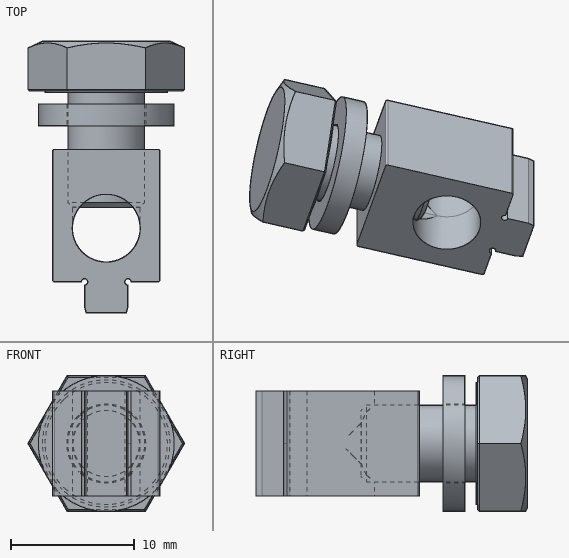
import cadquery as cq
import math

total_length = 22.0
collar_face_y = 17.82
bolt_tip_y = 8.51
washer_front_y = 15.14
block_rear_y = 13.25
shoulder_y = 2.5

block_width = 8.7
block_height = 8.54
block_corner_radius = 0.18
tab_width = 3.52
tab_taper_depth = 0.13
tab_taper_length = 0.5
relief_diameter = 0.5
wire_hole_diameter = 5.48
bore_diameter = wire_hole_diameter
wire_hole_y = 6.86

across_corners = 12.67
collar_diameter = 9.9
collar_height = 0.13
base_chamfer = 0.13
corner_drop = 0.55
crown_angle = 25.0
shank_diameter = 6.23
shank_tip_diameter = 5.37
tip_chamfer = (shank_diameter - shank_tip_diameter) / 2

washer_diameter = 11.0
washer_hole_diameter = 6.4
washer_thickness = 1.78


def cylinder_along_y(diameter, start_y, end_y):
    """Solid cylinder on the common axis between two positions along Y."""
    base = cq.Workplane("XZ", origin=(0, start_y, 0))
    return base.circle(diameter / 2).extrude(start_y - end_y)


def make_crown_envelope(base_y):
    """Turned shape with a conical crown that trims the rear corners of the hexagon."""
    corner_radius = across_corners / 2
    face_radius = corner_radius - corner_drop / math.tan(math.radians(crown_angle))
    return (
        cq.Workplane("XY")
        .moveTo(0, base_y)
        .lineTo(corner_radius, base_y)
        .lineTo(corner_radius, total_length - corner_drop)
        .lineTo(face_radius, total_length)
        .lineTo(0, total_length)
        .close()
        .revolve(360, (0, 0, 0), (0, 1, 0))
    )


def make_shank():
    """Round shank of the bolt with its chamfered tip."""
    shank = cylinder_along_y(shank_diameter, bolt_tip_y, collar_face_y)
    return shank.faces("<Y").chamfer(tip_chamfer)


def make_bolt():
    """Hexagon head, bearing collar and shank."""
    head_base_y = collar_face_y + collar_height
    hexagon = (
        cq.Workplane("XZ", origin=(0, head_base_y, 0))
        .polygon(6, across_corners)
        .extrude(head_base_y - total_length)
        .faces("<Y")
        .chamfer(base_chamfer)
    )
    head = hexagon.intersect(make_crown_envelope(head_base_y))
    collar = cylinder_along_y(collar_diameter, collar_face_y, head_base_y)
    return head.union(collar).union(make_shank())


def make_washer():
    """Flat ring that sits loosely around the shank."""
    rear_y = washer_front_y + washer_thickness
    disc = cylinder_along_y(washer_diameter, washer_front_y, rear_y)
    return disc.cut(cylinder_along_y(washer_hole_diameter, washer_front_y, rear_y))


def make_tab():
    """Narrow tongue on the front of the block, tapered towards its end."""
    half_width = tab_width / 2
    half_end_width = half_width - tab_taper_depth
    return (
        cq.Workplane("XY", origin=(0, 0, -block_height / 2))
        .moveTo(-half_end_width, 0)
        .lineTo(half_end_width, 0)
        .lineTo(half_width, tab_taper_length)
        .lineTo(half_width, shoulder_y)
        .lineTo(-half_width, shoulder_y)
        .lineTo(-half_width, tab_taper_length)
        .close()
        .extrude(block_height)
    )


def make_block():
    """Terminal block with tab, corner reliefs, wire hole and bolt hole."""
    body_length = block_rear_y - shoulder_y
    body = (
        cq.Workplane("XY", origin=(0, shoulder_y + body_length / 2, 0))
        .box(block_width, body_length, block_height)
        .edges("|Z")
        .fillet(block_corner_radius)
    )
    block = body.union(make_tab())

    mid_plane = cq.Workplane("XY")
    relief_points = [(side * tab_width / 2, shoulder_y) for side in (-1, 1)]
    reliefs = mid_plane.pushPoints(relief_points).circle(relief_diameter / 2)
    block = block.cut(reliefs.extrude(block_height, both=True))

    wire_hole = mid_plane.center(0, wire_hole_y).circle(wire_hole_diameter / 2)
    block = block.cut(wire_hole.extrude(block_height, both=True))

    bore = cylinder_along_y(bore_diameter, wire_hole_y, block_rear_y)
    return block.cut(bore).cut(make_shank())


bolt = make_bolt()
washer = make_washer()
block = make_block()

result = cq.Compound.makeCompound([bolt.val(), washer.val(), block.val()])